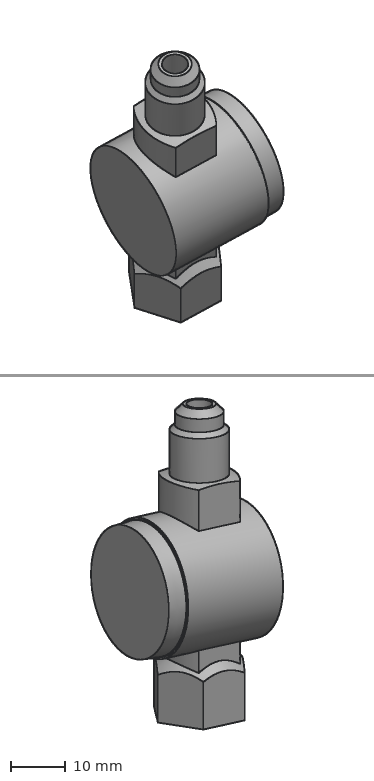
import cadquery as cq
import math

housing_dia = 26.5
housing_length = 21.1
housing_front_y = -9.55
housing_z = 26.45

total_length_y = 25.0
collar_dia = 25.8
collar_length = 0.2
cap_base_dia = 25.6
cap_end_dia = 25.2

nut_across_flats = 16.0
hex_half_angle = 30
nut_corner_z = 9.25

neck_width = 12.95
neck_depth = 13.5
neck_flat_length = nut_across_flats * math.tan(math.radians(hex_half_angle))
neck_top_z = 46.5
neck_rim_drop = 0.55

total_height = 60.0
thread_dia = 11.0
thread_end_z = 55.1
thread_chamfer = 0.9
tip_dia = 9.0
tip_chamfer = 1.45

bore_dia = 4.8
pin_dia = 4.0


def cylinder_y(diameter, y_start, length, taper=0):
    """Round solid on the housing axis, running toward +Y and narrowing by the taper angle in degrees."""
    plane = cq.Plane(origin=(0, y_start, housing_z), xDir=(1, 0, 0), normal=(0, 1, 0))
    return cq.Workplane(plane).circle(diameter / 2).extrude(length, taper=taper)


def turned(points):
    """Solid turned about the Z axis from (radius, z) points."""
    return cq.Workplane("XZ").polyline(points).close().revolve(360, (0, 0), (0, 1))


def make_housing():
    body = cylinder_y(housing_dia, housing_front_y, housing_length)
    collar_y = housing_front_y + housing_length
    collar = cylinder_y(collar_dia, collar_y, collar_length)
    cap_length = total_length_y - housing_length - collar_length
    taper = math.degrees(math.atan((cap_base_dia - cap_end_dia) / 2 / cap_length))
    cap = cylinder_y(cap_base_dia, collar_y + collar_length, cap_length, taper)
    return body.union(collar).union(cap)


def make_nut():
    corner_radius = nut_across_flats / 2 / math.cos(math.radians(hex_half_angle))
    cone_apex_z = nut_corner_z + corner_radius
    hexagon = cq.Workplane("XY").polygon(6, 2 * corner_radius).extrude(cone_apex_z)
    hexagon = hexagon.rotate((0, 0, 0), (0, 0, 1), hex_half_angle)
    envelope = turned([(0, 0), (corner_radius, 0), (corner_radius, nut_corner_z), (0, cone_apex_z)])
    return hexagon.intersect(envelope)


def make_neck():
    half_width = neck_width / 2
    half_flat = neck_flat_length / 2
    bow = neck_depth / 2
    prism = (
        cq.Workplane("XY")
        .moveTo(half_width, -half_flat)
        .lineTo(half_width, half_flat)
        .threePointArc((0, bow), (-half_width, half_flat))
        .lineTo(-half_width, -half_flat)
        .threePointArc((0, -bow), (half_width, -half_flat))
        .close()
        .extrude(neck_top_z)
    )
    corner_radius = math.hypot(half_width, half_flat)
    thread_radius = thread_dia / 2
    envelope = turned([
        (0, nut_corner_z),
        (corner_radius, nut_corner_z),
        (corner_radius, neck_top_z - neck_rim_drop),
        (thread_radius, neck_top_z),
        (0, neck_top_z),
    ])
    return prism.intersect(envelope)


def make_threaded_end():
    thread_radius = thread_dia / 2
    tip_radius = tip_dia / 2
    return turned([
        (0, housing_z),
        (thread_radius, housing_z),
        (thread_radius, thread_end_z),
        (tip_radius, thread_end_z + thread_chamfer),
        (tip_radius, total_height - tip_chamfer),
        (tip_radius - tip_chamfer, total_height),
        (0, total_height),
    ])


bore = cq.Workplane("XY").circle(bore_dia / 2).extrude(total_height)

pin = cylinder_y(pin_dia, -bore_dia, 2 * bore_dia)

outer_body = make_housing().union(make_nut()).union(make_neck()).union(make_threaded_end())
result = outer_body.cut(bore).union(pin)